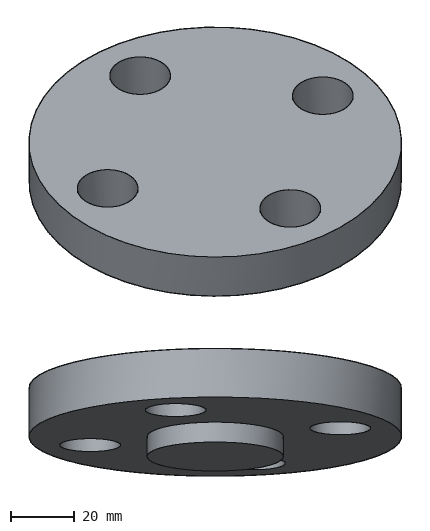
import cadquery as cq

flange_diameter = 117.32
total_height = 22.1
raised_face_diameter = 42.9
raised_face_height = 6.4
bolt_hole_diameter = 19.1
bolt_circle_diameter = 82.6
bolt_hole_count = 4

flange_thickness = total_height - raised_face_height


def make_disc():
    """Main disc, resting on top of the raised face."""
    return (
        cq.Workplane("XY")
        .workplane(offset=raised_face_height)
        .circle(flange_diameter / 2)
        .extrude(flange_thickness)
    )


def make_raised_face():
    """Round sealing boss below the disc, starting at Z = 0."""
    return cq.Workplane("XY").circle(raised_face_diameter / 2).extrude(raised_face_height)


def make_bolt_holes():
    """Cylinders that cut the bolt holes, the first one on the +X axis."""
    return (
        cq.Workplane("XY")
        .polarArray(bolt_circle_diameter / 2, 0, 360, bolt_hole_count)
        .circle(bolt_hole_diameter / 2)
        .extrude(total_height)
    )


result = make_disc().union(make_raised_face()).cut(make_bolt_holes())